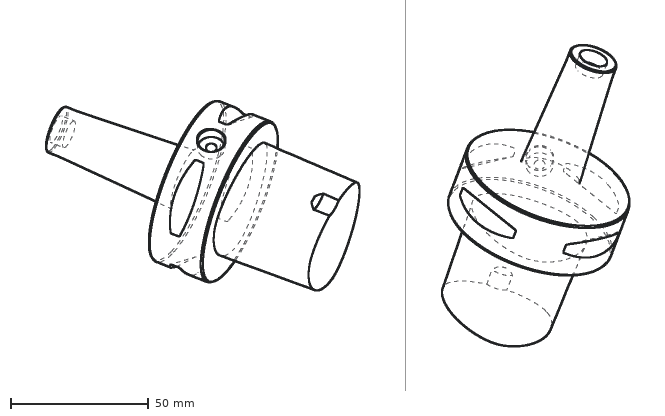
import cadquery as cq
import math

total_length = 113
flange_diameter = 63.0
flange_start = 52.9
flange_end = 74.9
flange_edge_width = 0.7
flange_edge_drop = 0.5

tip_diameter = 18.0
tip_length = 4.7
tip_chamfer = 0.5
neck_diameter = 22.7
neck_start = 48.7
fillet_start = 50.2
fillet_radius = 2.9
fillet_sweep = 102
bore_diameter = 10.5
bore_depth = 5.2

shank_root_radius = 22.1
shank_end_radius = 21.1
lobe_height = 1.4
outline_points = 72

notch_radius = 6.5
notch_start = 104.5
notch_end_run = 2.1
notch_end_rise = 1.5
notch_floor_height = 18.3

gripper_x = 63.0
slot_floor_distance = 28.0
slot_floor_width = 3.5
slot_mouth_width = 8.0
slot_corner_radius = 0.7
slot_angles = (45, 135, 225, 315)
hole_rim_diameter = 10.5
hole_diameter = 10.0
hole_chamfer = (hole_rim_diameter - hole_diameter) / 2
hole_depth = 5.0
dimple_diameter = 4.0
dimple_depth = 1.1

flange_radius = flange_diameter / 2


def make_nose_and_flange():
    """Revolve the tapered nose, its root fillet and the flange."""
    tip_radius = tip_diameter / 2
    neck_radius = neck_diameter / 2
    fillet_centre_radius = neck_radius + fillet_radius

    def fillet_point(angle):
        x = fillet_start + fillet_radius * math.sin(angle)
        return (x, fillet_centre_radius - fillet_radius * math.cos(angle))

    sweep = math.radians(fillet_sweep)
    fillet_end = fillet_point(sweep)
    rim_radius = fillet_end[1] + (flange_start - fillet_end[0]) * math.tan(sweep)
    edge_radius = flange_radius - flange_edge_drop
    profile = (
        cq.Workplane("XY")
        .lineTo(0, tip_radius - tip_chamfer)
        .lineTo(tip_chamfer, tip_radius)
        .lineTo(tip_length, tip_radius)
        .lineTo(neck_start, neck_radius)
        .lineTo(fillet_start, neck_radius)
        .threePointArc(fillet_point(sweep / 2), fillet_end)
        .lineTo(flange_start, rim_radius)
        .lineTo(flange_start, edge_radius)
        .lineTo(flange_start + flange_edge_width, flange_radius)
        .lineTo(flange_end - flange_edge_width, flange_radius)
        .lineTo(flange_end, edge_radius)
        .lineTo(flange_end, 0)
        .close()
    )
    return profile.revolve(360, (0, 0), (1, 0))


def lobed_outline(mean_radius):
    """Points (Y, Z) of a constant-width three-lobed curve."""
    points = []
    for i in range(outline_points):
        angle = 2 * math.pi * i / outline_points
        reach = mean_radius + lobe_height * math.cos(3 * angle)
        slope = -3 * lobe_height * math.sin(3 * angle)
        y = reach * math.sin(angle) + slope * math.cos(angle)
        z = -reach * math.cos(angle) + slope * math.sin(angle)
        points.append((y, z))
    return points


def make_shank():
    return (
        cq.Workplane("YZ", origin=(flange_end, 0, 0))
        .spline(lobed_outline(shank_root_radius), periodic=True)
        .close()
        .workplane(offset=total_length - flange_end)
        .spline(lobed_outline(shank_end_radius), periodic=True)
        .close()
        .loft(ruled=True, combine=True)
    )


def make_notch():
    """Shallow round-bottomed groove along X with a conical inner end."""
    groove_start = notch_start + notch_end_run
    profile = (
        cq.Workplane("XY", origin=(0, 0, notch_floor_height + notch_radius))
        .moveTo(notch_start, 0)
        .lineTo(notch_start, notch_radius - notch_end_rise)
        .lineTo(groove_start, notch_radius)
        .lineTo(total_length, notch_radius)
        .lineTo(total_length, 0)
        .close()
    )
    return profile.revolve(360, (0, 0), (1, 0))


def make_gripper_slot(angle):
    """Flared slot cut straight across the flange rim, turned about X."""
    half_floor = slot_floor_width / 2
    half_mouth = slot_mouth_width / 2
    slot = (
        cq.Workplane("XZ", origin=(gripper_x, 0, 0))
        .moveTo(-half_floor, slot_floor_distance)
        .lineTo(half_floor, slot_floor_distance)
        .lineTo(half_mouth, flange_radius)
        .lineTo(-half_mouth, flange_radius)
        .close()
        .extrude(flange_radius, both=True)
        .faces("<Z")
        .edges("|Y")
        .fillet(slot_corner_radius)
    )
    return slot.rotate((0, 0, 0), (1, 0, 0), angle)


def make_coolant_hole():
    """Chamfered radial hole with a conical dimple in its floor."""
    floor_height = flange_radius - hole_depth
    hole_radius = hole_diameter / 2
    profile = (
        cq.Workplane("XZ", origin=(gripper_x, 0, 0))
        .moveTo(0, floor_height - dimple_depth)
        .lineTo(dimple_diameter / 2, floor_height)
        .lineTo(hole_radius, floor_height)
        .lineTo(hole_radius, flange_radius - 2 * hole_chamfer)
        .lineTo(hole_radius + hole_chamfer, flange_radius - hole_chamfer)
        .lineTo(hole_radius + hole_chamfer, flange_radius)
        .lineTo(0, flange_radius)
        .close()
    )
    return profile.revolve(360, (0, 0), (0, 1))


bore = cq.Workplane("YZ").circle(bore_diameter / 2).extrude(bore_depth)

result = make_nose_and_flange().union(make_shank())
result = result.cut(bore).cut(make_notch()).cut(make_coolant_hole())
for slot_angle in slot_angles:
    result = result.cut(make_gripper_slot(slot_angle))